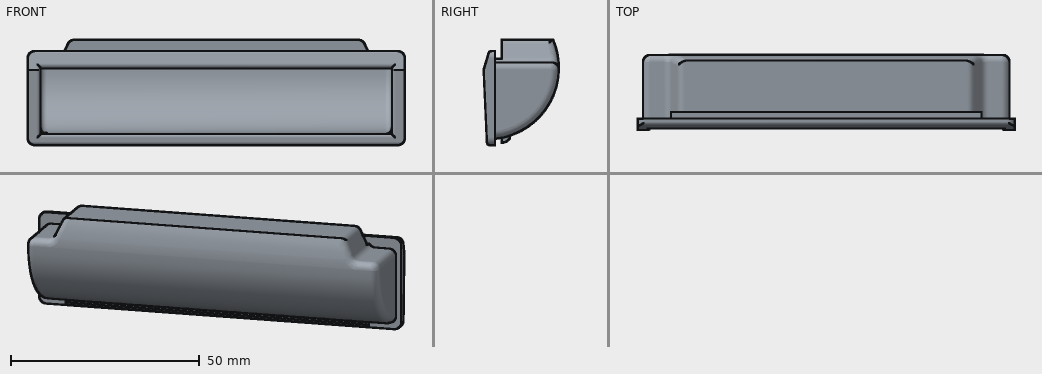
import cadquery as cq
import math


length = 100.0
flange_height = 25.0
flange_back = 3.1
crest_z = 20.0
top_front_y = 1.5
bottom_front_y = 0.9
flange_edge_radius = 0.9
flange_corner_radius = 2.0

depth = 20.0
shell_radius = 18.9
axis_y = depth - shell_radius
axis_z = 20.5
shell_half_length = 48.6
shoulder_z = 22.0
shell_front = 2.2
shell_edge_radius = 2.0

hump_top = 28.0
hump_half_base = 41.6
hump_angle = 65.0
hump_front = 4.8
hump_edge_radius = 2.0
ledge_z = 23.0
trim_z = 25.0

wall = 1.4
cavity_radius = shell_radius - wall
cavity_half_length = 46.5
cavity_roof = 20.3
cavity_edge_radius = 1.6
mouth_radius = 1.0

barb_back = 7.0
barb_bottom = 0.6
barb_toe = 1.0
barb_toe_rise = 0.3
barb_side_z = 1.8
barb_embed_z = 2.4

pick_margin = 0.1


def make_flange():
    """Bent front plate with rounded long edges and rounded corners."""
    profile = [
        (flange_back, 0),
        (bottom_front_y, 0),
        (0, crest_z),
        (top_front_y, flange_height),
        (flange_back, flange_height),
    ]
    plate = cq.Workplane("YZ").polyline(profile).close().extrude(length / 2, both=True)
    front_edges = cq.selectors.BoxSelector(
        (-length, bottom_front_y - pick_margin, -pick_margin),
        (length, top_front_y + pick_margin, flange_height + pick_margin),
    )
    plate = plate.edges("|X").edges(front_edges).fillet(flange_edge_radius)
    outline = (
        cq.Workplane("XY")
        .box(length, flange_back, flange_height, centered=(True, False, False))
        .edges("|Y")
        .fillet(flange_corner_radius)
    )
    cavity_floor = axis_z - cavity_radius
    opening = cq.Workplane("XY").box(
        2 * cavity_half_length, length, cavity_roof - cavity_floor, centered=(True, True, False)
    )
    plate = plate.intersect(outline).cut(opening.translate((0, 0, cavity_floor)))
    mouth_edges = cq.selectors.BoxSelector(
        (-cavity_half_length - pick_margin, -pick_margin, cavity_floor - pick_margin),
        (cavity_half_length + pick_margin, bottom_front_y, cavity_roof + pick_margin),
    )
    return plate.edges(mouth_edges).fillet(mouth_radius)


def hump_half_width(z):
    """Half width of the sloping hump at a given height."""
    return hump_half_base - (z - shoulder_z) / math.tan(math.radians(hump_angle))


def make_shell():
    """Cylindrical body with rounded shoulders and a trapezoidal hump."""
    tall_z = hump_top + 3 * shell_edge_radius
    hump_half_tall = hump_half_width(tall_z)
    outline = [
        (-shell_half_length, 0),
        (-shell_half_length, shoulder_z),
        (-hump_half_base, shoulder_z),
        (-hump_half_tall, tall_z),
        (hump_half_tall, tall_z),
        (hump_half_base, shoulder_z),
        (shell_half_length, shoulder_z),
        (shell_half_length, 0),
    ]
    block = cq.Workplane("XZ").polyline(outline).close().extrude(-2 * depth)
    shoulder_edges = cq.selectors.BoxSelector(
        (-length, -pick_margin, shoulder_z - pick_margin), (length, 3 * depth, shoulder_z + pick_margin)
    )
    block = block.edges("|Y").edges(shoulder_edges).fillet(shell_edge_radius)
    barrel = (
        cq.Workplane("YZ").center(axis_y, axis_z).circle(shell_radius).extrude(length / 2, both=True)
    )
    behind_flange = cq.Workplane("XY").box(length, depth, 2 * flange_height, centered=(True, False, False))
    body = block.intersect(barrel).intersect(behind_flange.translate((0, shell_front, 0)))
    end_edge_z = axis_z - shell_radius / 2
    end_edge_y = axis_y + shell_radius * math.sqrt(3) / 2
    for side in (-1, 1):
        start = cq.selectors.NearestToPointSelector((side * shell_half_length, end_edge_y, end_edge_z))
        body = body.edges(start).fillet(shell_edge_radius)
    trim_outline = [
        (-length / 2, 0),
        (-length / 2, trim_z),
        (-hump_half_width(trim_z), trim_z),
        (-hump_half_width(hump_top), hump_top),
        (hump_half_width(hump_top), hump_top),
        (hump_half_width(trim_z), trim_z),
        (length / 2, trim_z),
        (length / 2, 0),
    ]
    trim = cq.Workplane("XZ").polyline(trim_outline).close().extrude(-2 * depth)
    trim = trim.faces(">Z").edges("|Y").fillet(hump_edge_radius)
    body = body.intersect(trim)
    ledge_cut = cq.Workplane("XY").box(
        length, 2 * hump_front, depth, centered=(True, True, False)
    )
    return body.cut(ledge_cut.translate((0, 0, ledge_z)))


def make_barb():
    """Small snap ridge along the underside of the shell."""
    profile = [
        (hump_front, barb_embed_z),
        (hump_front, barb_bottom),
        (barb_back - barb_toe, barb_bottom + barb_toe_rise),
        (barb_back, barb_side_z),
        (barb_back, barb_embed_z),
    ]
    return cq.Workplane("YZ").polyline(profile).close().extrude(hump_half_base, both=True)


def make_cavity():
    """Grip space: the shell barrel offset inward and extended out through the front."""
    roof_y = axis_y + math.sqrt(cavity_radius**2 - (cavity_roof - axis_z) ** 2)
    diagonal = cavity_radius / math.sqrt(2)
    return (
        cq.Workplane("YZ")
        .moveTo(-depth, cavity_roof)
        .lineTo(roof_y, cavity_roof)
        .threePointArc((axis_y + diagonal, axis_z - diagonal), (axis_y, axis_z - cavity_radius))
        .lineTo(-depth, axis_z - cavity_radius)
        .close()
        .extrude(cavity_half_length, both=True)
        .edges("%CIRCLE")
        .fillet(cavity_edge_radius)
    )


shell = make_shell().cut(make_cavity())
result = make_flange().union(shell).union(make_barb())